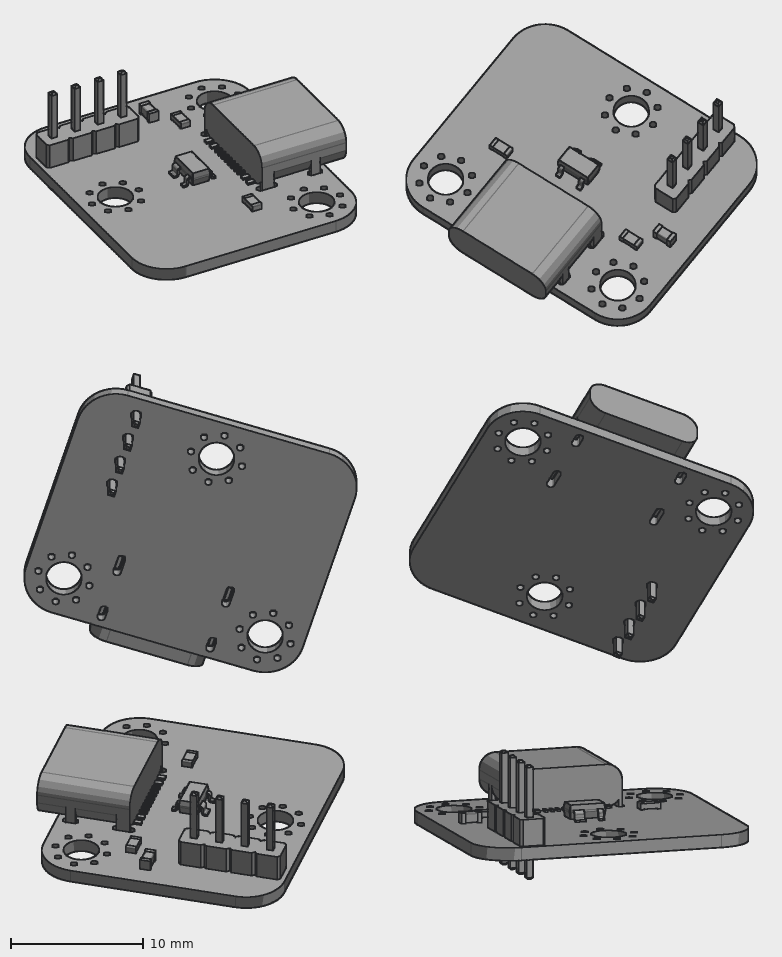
import cadquery as cq
import math

BOARD_WIDTH = 22.0
BOARD_LENGTH = 19.0
BOARD_THICKNESS = 1.0
BOARD_CORNER_RADIUS = 3.0
BOARD_TOP = BOARD_THICKNESS

MOUNT_HOLE_DIAMETER = 2.7
MOUNT_X = BOARD_WIDTH / 2 - BOARD_CORNER_RADIUS
MOUNT_Y = BOARD_LENGTH / 2 - BOARD_CORNER_RADIUS
MOUNT_POSITIONS = [(-MOUNT_X, MOUNT_Y), (MOUNT_X, MOUNT_Y), (0, -MOUNT_Y)]
VIA_DIAMETER = 0.5
VIA_COUNT = 8
VIA_RING_RADIUS = 2.025

SHELL_WIDTH = 9.0
SHELL_HEIGHT = 3.26
SHELL_LENGTH = 7.3
SHELL_CORNER_RADIUS = 1.28
SHELL_OVERHANG = 1.5
SHELL_BACK_Y = BOARD_LENGTH / 2 + SHELL_OVERHANG - SHELL_LENGTH

LEG_THICKNESS = 0.3
LEG_DEPTH = 0.4
BACK_LEG_LENGTH = 1.05
FRONT_LEG_LENGTH = 0.77
BACK_LEG_Y = SHELL_BACK_Y + BACK_LEG_LENGTH / 2
FRONT_LEG_Y = 8.36

SLOT_X = 4.32
SLOT_WIDTH = 0.6
BACK_SLOT_Y = 4.21
BACK_SLOT_LENGTH = 1.7
FRONT_SLOT_Y = 8.39
FRONT_SLOT_LENGTH = 1.2

CONTACT_THICKNESS = 0.15
CONTACT_REACH = 0.6
WIDE_CONTACT_WIDTH = 0.4
WIDE_CONTACT_OFFSETS = [2.45, 3.25]
NARROW_CONTACT_WIDTH = 0.2
NARROW_CONTACT_OFFSETS = [0.25, 0.75, 1.25, 1.75]

HEADER_X = -6.9
HEADER_Y = -5.1
PIN_COUNT = 4
PIN_PITCH = 2.0
HEADER_WIDTH = 2.0
HEADER_HEIGHT = 2.05
HEADER_CHAMFER = 0.2
PIN_SIZE = 0.5
PIN_TIP_CHAMFER = 0.15
PIN_ABOVE_BOARD = 6.05
PIN_BELOW_BOARD = 1.75
PIN_HOLE_DIAMETER = 0.8
PIN_POSITIONS = [
    (HEADER_X, HEADER_Y + (i - (PIN_COUNT - 1) / 2) * PIN_PITCH)
    for i in range(PIN_COUNT)
]

CHIP_X = 0.25
CHIP_Y = 0.02
CHIP_LENGTH = 2.9
CHIP_WIDTH = 1.6
CHIP_TOP = 1.2
CHIP_BOTTOM = 0.1
CHIP_DRAFT = 0.1
CHIP_CORNER_CHAMFER = 0.08
LEAD_THICKNESS = 0.15
LEAD_TOP = 0.8
BELT_BOTTOM = LEAD_TOP - LEAD_THICKNESS
LEAD_SPAN = 2.8
LEAD_FOOT = 0.3
LEAD_BEND_RADIUS = 0.12
LEAD_WIDTH = 0.4
WIDE_LEAD_WIDTH = 0.8
LEAD_X = 0.95
WIDE_LEAD_X = -LEAD_X + (WIDE_LEAD_WIDTH - LEAD_WIDTH) / 2

PASSIVE_LENGTH = 1.6
PASSIVE_WIDTH = 0.8
CORE_LIFT = 0.05
RESISTOR_HEIGHT = 0.5
RESISTOR_CAP_LENGTH = 0.3
RESISTOR_CAP_STEP = 0.02
RESISTOR_CAP_FILLET = 0.05
RESISTOR_POSITIONS = [(-6.6, 2.79), (6.06, 1.98)]
CAPACITOR_HEIGHT = 0.82
CAPACITOR_CAP_LENGTH = 0.33
CAPACITOR_POSITION = (-8.52, 1.1)
CAPACITOR_CORE_INSET = 0.02
CAPACITOR_CORE_FILLET = 0.06


def box_on(z, x_size, y_size, z_size, x=0.0, y=0.0):
    """Block centred at (x, y) whose underside lies at height z."""
    return (
        cq.Workplane("XY", origin=(x, y, z))
        .box(x_size, y_size, z_size, centered=(True, True, False))
    )


def make_board():
    board = (
        box_on(0, BOARD_WIDTH, BOARD_LENGTH, BOARD_THICKNESS)
        .edges("|Z").fillet(BOARD_CORNER_RADIUS)
    )
    board = cut_mount_holes(board)
    board = cut_leg_slots(board)
    pin_holes = (
        cq.Workplane("XY").pushPoints(PIN_POSITIONS)
        .circle(PIN_HOLE_DIAMETER / 2).extrude(BOARD_THICKNESS)
    )
    return board.cut(pin_holes)


def cut_mount_holes(board):
    """Each mounting hole is surrounded by a ring of small vias."""
    for x, y in MOUNT_POSITIONS:
        hole = (
            cq.Workplane("XY", origin=(x, y, 0))
            .circle(MOUNT_HOLE_DIAMETER / 2).extrude(BOARD_THICKNESS)
        )
        vias = (
            cq.Workplane("XY", origin=(x, y, 0))
            .polarArray(VIA_RING_RADIUS, 0, 360, VIA_COUNT)
            .circle(VIA_DIAMETER / 2).extrude(BOARD_THICKNESS)
        )
        board = board.cut(hole).cut(vias)
    return board


def cut_leg_slots(board):
    """Round-ended through slots that take the legs of the connector shell."""
    for y, length in [(BACK_SLOT_Y, BACK_SLOT_LENGTH), (FRONT_SLOT_Y, FRONT_SLOT_LENGTH)]:
        slots = (
            cq.Workplane("XY").pushPoints([(-SLOT_X, y), (SLOT_X, y)])
            .slot2D(length, SLOT_WIDTH, 90).extrude(BOARD_THICKNESS)
        )
        board = board.cut(slots)
    return board


def make_usb_connector():
    shell_mid_y = SHELL_BACK_Y + SHELL_LENGTH / 2
    usb = (
        box_on(BOARD_TOP, SHELL_WIDTH, SHELL_LENGTH, SHELL_HEIGHT, y=shell_mid_y)
        .edges("|Y").fillet(SHELL_CORNER_RADIUS)
    )

    leg_x = (SHELL_WIDTH - LEG_THICKNESS) / 2
    leg_height = LEG_DEPTH + SHELL_CORNER_RADIUS
    for side in (-1, 1):
        for y, length in [(BACK_LEG_Y, BACK_LEG_LENGTH), (FRONT_LEG_Y, FRONT_LEG_LENGTH)]:
            leg = box_on(BOARD_TOP - LEG_DEPTH, LEG_THICKNESS, length, leg_height, side * leg_x, y)
            usb = usb.union(leg)

    contact_length = 2 * CONTACT_REACH
    contacts = [(offset, WIDE_CONTACT_WIDTH) for offset in WIDE_CONTACT_OFFSETS]
    contacts += [(offset, NARROW_CONTACT_WIDTH) for offset in NARROW_CONTACT_OFFSETS]
    for offset, width in contacts:
        for side in (-1, 1):
            contact = box_on(
                BOARD_TOP, width, contact_length, CONTACT_THICKNESS, side * offset, SHELL_BACK_Y
            )
            usb = usb.union(contact)
    return usb


def make_pin_header():
    """Plastic strip of chamfered cells with one square pin through each cell."""
    header = None
    pin_length = PIN_ABOVE_BOARD + BOARD_THICKNESS + PIN_BELOW_BOARD
    for x, y in PIN_POSITIONS:
        cell = (
            box_on(BOARD_TOP, HEADER_WIDTH, PIN_PITCH, HEADER_HEIGHT, x, y)
            .edges("|Z").chamfer(HEADER_CHAMFER)
        )
        pin = (
            box_on(-PIN_BELOW_BOARD, PIN_SIZE, PIN_SIZE, pin_length, x, y)
            .faces("<Z or >Z").chamfer(PIN_TIP_CHAMFER)
        )
        cell = cell.union(pin)
        header = cell if header is None else header.union(cell)
    return header


def make_chip_lead(x, width, side):
    """Gull-wing lead; side is +1 for a lead toward +Y and -1 for one toward -Y."""
    inner_radius = LEAD_BEND_RADIUS
    outer_radius = LEAD_BEND_RADIUS + LEAD_THICKNESS
    toe = LEAD_SPAN / 2
    wall_outer = toe - LEAD_FOOT
    wall_inner = wall_outer - LEAD_THICKNESS
    lead = (
        cq.Workplane("YZ", origin=(x - width / 2, 0, 0))
        .moveTo(0, LEAD_TOP)
        .lineTo(wall_outer - outer_radius, LEAD_TOP)
        .radiusArc((wall_outer, LEAD_TOP - outer_radius), outer_radius)
        .lineTo(wall_outer, LEAD_THICKNESS + inner_radius)
        .radiusArc((wall_outer + inner_radius, LEAD_THICKNESS), -inner_radius)
        .lineTo(toe, LEAD_THICKNESS)
        .lineTo(toe, 0)
        .lineTo(wall_inner + outer_radius, 0)
        .radiusArc((wall_inner, outer_radius), outer_radius)
        .lineTo(wall_inner, BELT_BOTTOM - inner_radius)
        .radiusArc((wall_inner - inner_radius, BELT_BOTTOM), -inner_radius)
        .lineTo(0, BELT_BOTTOM)
        .close()
        .extrude(width)
    )
    return lead if side > 0 else lead.mirror("XZ")


def taper_angle(height):
    """Side taper that insets a face by the moulding draft over the given height."""
    return math.degrees(math.atan2(CHIP_DRAFT, height))


def make_chip():
    """Moulded body, widest at a belt level with the leads, with three narrow leads and a wide one."""
    upper_height = CHIP_TOP - LEAD_TOP
    lower_height = BELT_BOTTOM - CHIP_BOTTOM
    belt = (
        box_on(BELT_BOTTOM, CHIP_LENGTH, CHIP_WIDTH, LEAD_THICKNESS)
        .edges("|Z").chamfer(CHIP_CORNER_CHAMFER)
    )
    upper = (
        belt.faces(">Z").wires().toPending()
        .workplane().extrude(upper_height, combine=False, taper=taper_angle(upper_height))
    )
    lower = (
        belt.faces("<Z").wires().toPending()
        .workplane().extrude(lower_height, combine=False, taper=taper_angle(lower_height))
    )
    chip = belt.union(upper).union(lower)
    chip = chip.union(make_chip_lead(-LEAD_X, LEAD_WIDTH, 1))
    chip = chip.union(make_chip_lead(LEAD_X, LEAD_WIDTH, 1))
    chip = chip.union(make_chip_lead(LEAD_X, LEAD_WIDTH, -1))
    chip = chip.union(make_chip_lead(WIDE_LEAD_X, WIDE_LEAD_WIDTH, -1))
    return chip.translate((CHIP_X, CHIP_Y, BOARD_TOP))


def make_end_caps(position, cap_length, height):
    """Pair of metal end caps standing on the board."""
    x, y = position
    cap_offset = (PASSIVE_LENGTH - cap_length) / 2
    return [
        box_on(BOARD_TOP, cap_length, PASSIVE_WIDTH, height, x + side * cap_offset, y)
        for side in (-1, 1)
    ]


def make_resistor(position):
    """Flat core between end caps with rounded edges."""
    x, y = position
    core_length = PASSIVE_LENGTH - 2 * RESISTOR_CAP_FILLET
    core_height = RESISTOR_HEIGHT - CORE_LIFT - RESISTOR_CAP_STEP
    resistor = box_on(BOARD_TOP + CORE_LIFT, core_length, PASSIVE_WIDTH, core_height, x, y)
    for cap in make_end_caps(position, RESISTOR_CAP_LENGTH, RESISTOR_HEIGHT):
        resistor = resistor.union(cap.edges("|Y").fillet(RESISTOR_CAP_FILLET))
    return resistor


def make_capacitor(position):
    """Rounded core, slightly inside its two square end caps."""
    x, y = position
    core_length = PASSIVE_LENGTH - CAPACITOR_CAP_LENGTH
    core_width = PASSIVE_WIDTH - 2 * CAPACITOR_CORE_INSET
    core_height = CAPACITOR_HEIGHT - CORE_LIFT - CAPACITOR_CORE_INSET
    capacitor = (
        box_on(BOARD_TOP + CORE_LIFT, core_length, core_width, core_height, x, y)
        .edges("|X").fillet(CAPACITOR_CORE_FILLET)
    )
    for cap in make_end_caps(position, CAPACITOR_CAP_LENGTH, CAPACITOR_HEIGHT):
        capacitor = capacitor.union(cap)
    return capacitor


board = make_board()
usb_connector = make_usb_connector()
pin_header = make_pin_header()
chip = make_chip()
resistors = [make_resistor(position) for position in RESISTOR_POSITIONS]
capacitor = make_capacitor(CAPACITOR_POSITION)

result = cq.Compound.makeCompound([
    board.val(),
    usb_connector.val(),
    pin_header.val(),
    chip.val(),
    *[resistor.val() for resistor in resistors],
    capacitor.val(),
])